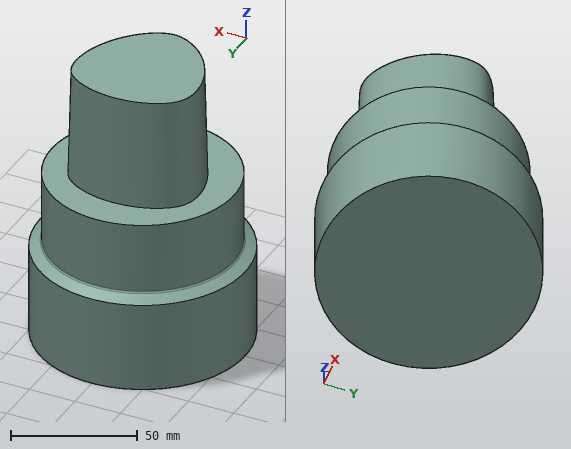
import cadquery as cq
import math

total_height = 121.0
flange_diameter = 90.0
collar_diameter = 80.0

flange_edge_height = 39.1
collar_top_height = 73.1

cone_angle = math.radians(30)
cone_rise = (flange_diameter - collar_diameter) / 2 * math.tan(cone_angle)
cone_fillet = 1.0

shank_base_width = 55.2
taper_ratio = 1 / 20
lobe_eccentricity = 1.9
curve_points = 72
shank_height = total_height - collar_top_height
shank_top_width = shank_base_width - shank_height * taper_ratio


def make_body():
    """Revolved flange, cone and collar, with a fillet where cone meets collar."""
    cone_top = flange_edge_height + cone_rise
    collar_radius = collar_diameter / 2
    flange_radius = flange_diameter / 2
    turn = math.pi / 2 - cone_angle
    tangent_length = cone_fillet * math.tan(turn / 2)
    fillet_start = (
        collar_radius + tangent_length * math.cos(cone_angle),
        cone_top - tangent_length * math.sin(cone_angle),
    )
    fillet_end = (collar_radius, cone_top + tangent_length)
    fillet_middle = (
        collar_radius + cone_fillet * (1 - math.cos(turn / 2)),
        fillet_end[1] - cone_fillet * math.sin(turn / 2),
    )
    return (
        cq.Workplane("XZ")
        .lineTo(flange_radius, 0)
        .lineTo(flange_radius, flange_edge_height)
        .lineTo(*fillet_start)
        .threePointArc(fillet_middle, fillet_end)
        .lineTo(collar_radius, collar_top_height)
        .lineTo(0, collar_top_height)
        .close()
        .revolve(360, (0, 0, 0), (0, 1, 0))
    )


def lobed_outline(width):
    """Points on a three-lobed constant-width curve with a flat side toward +Y."""
    points = []
    for index in range(curve_points):
        angle = 2 * math.pi * index / curve_points
        radial = width / 2 * math.cos(angle)
        radial += lobe_eccentricity * (math.cos(4 * angle) - 2 * math.cos(2 * angle))
        lateral = width / 2 * math.sin(angle)
        lateral += lobe_eccentricity * (math.sin(4 * angle) + 2 * math.sin(2 * angle))
        points.append((-lateral, radial))
    return points


def make_shank():
    """Straight-sided loft from the collar face to the top face."""
    return (
        cq.Workplane("XY")
        .workplane(offset=collar_top_height)
        .spline(lobed_outline(shank_base_width), periodic=True)
        .close()
        .workplane(offset=shank_height)
        .spline(lobed_outline(shank_top_width), periodic=True)
        .close()
        .loft(ruled=True)
    )


result = make_body().union(make_shank())